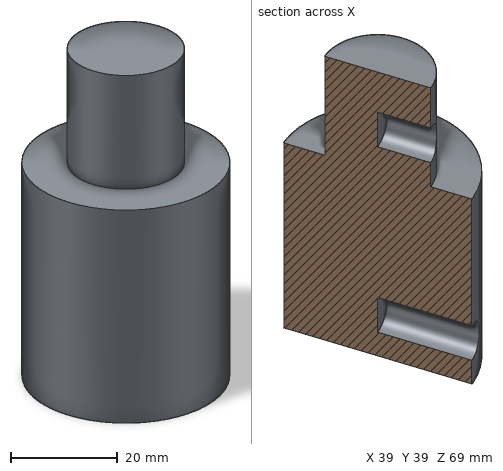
import cadquery as cq

BODY_DIAMETER = 39.0
BODY_HEIGHT = 45.0
SPIGOT_DIAMETER = 22.0
SPIGOT_HEIGHT = 24.0

CROSS_HOLE_DIAMETER = 8.3
BODY_HOLE_HEIGHT = 10.0
SPIGOT_HOLE_OFFSET = 10.0


def stepped_shaft():
    """Cylindrical body standing on Z = 0 with a smaller coaxial spigot on top."""
    body = cq.Workplane("XY").circle(BODY_DIAMETER / 2).extrude(BODY_HEIGHT)
    return body.faces(">Z").workplane().circle(SPIGOT_DIAMETER / 2).extrude(SPIGOT_HEIGHT)


def cross_hole(axis_height):
    """Cutter for a blind radial hole running from the part's axis out through the +Y side."""
    return (
        cq.Workplane("XZ", origin=(0, 0, axis_height))
        .circle(CROSS_HOLE_DIAMETER / 2)
        .extrude(-BODY_DIAMETER / 2)
    )


result = stepped_shaft()
for hole_height in (BODY_HOLE_HEIGHT, BODY_HEIGHT + SPIGOT_HOLE_OFFSET):
    result = result.cut(cross_hole(hole_height))